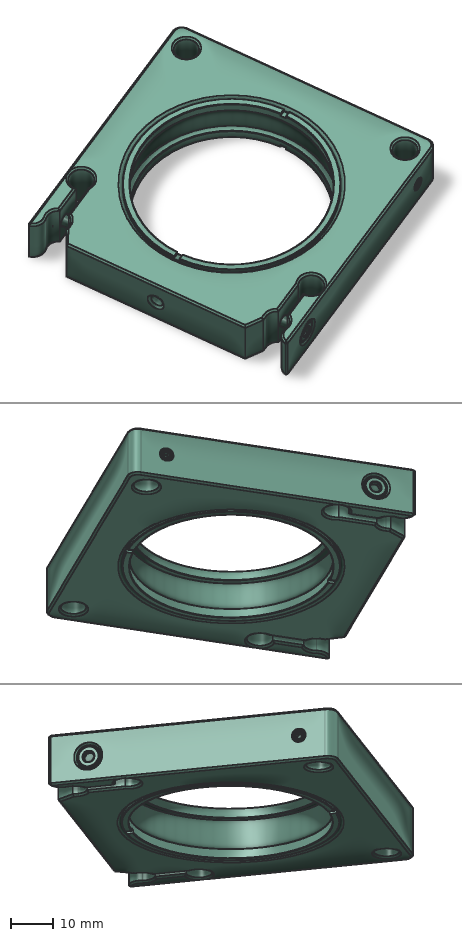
import cadquery as cq
import math

side = 71.1
thickness = 12.7
edge_chamfer = 0.5
back_corner_radius = 2.5
half_side = side / 2
half_thick = thickness / 2

bore_diameter = 51.7
bore_mouth_diameter = 53.7
ring_inner_diameter = 48.3
ring_thickness = 2.5
ring_chamfer = 0.15
ring_slot_width = 1.5
ring_slot_depth = 0.7

rod_offset = 30.0
rod_diameter = 6.0
rod_radius = rod_diameter / 2

relief_diameter = 6.2
relief_x = 31.6
relief_y = -16.6
slot_width = 2.4

fingertip_radius = 3.2
fingertip_y = -31.7
notch_bend_y = -31.3
notch_mouth_x = 24.55
finger_corner_width = 0.3
finger_corner_start_y = -34.35

clamp_y = -25.1
clamp_diameter = 3.0
clamp_length = 10.0
clamp_head_diameter = 5.5
clamp_head_height = 2.7
clamp_head_recess = 0.2
clamp_head_chamfer = 0.3
clamp_socket_flats = 2.5
clamp_socket_mouth_diameter = 3.0
clamp_socket_depth = 1.3
clearance_diameter = 3.4
counterbore_diameter = 6.0
counterbore_chamfer = 0.5

set_y = 26.7
set_diameter = 3.0
set_length = 2.5
set_recess = 0.2
set_chamfer = 0.35
set_socket_flats = 1.5
set_socket_depth = 1.3
set_hole_mouth_diameter = 3.4

mount_diameter = 3.3
mount_mouth_diameter = 4.5
mount_depth = 5.7
drill_tip_angle = 118.0

overshoot = 0.7


def cylinder_x(diameter, start_x, length, y):
    """Cylinder along +X at mid-thickness."""
    start = cq.Vector(start_x, y, 0)
    return cq.Workplane(cq.Solid.makeCylinder(diameter / 2, length, start, cq.Vector(1, 0, 0)))


def countersink_x(mouth_diameter, chamfer, y, outer_x=-half_side):
    """Cone that breaks the edge of a hole in a face at outer_x."""
    cone = cq.Solid.makeCone(
        mouth_diameter / 2,
        mouth_diameter / 2 - chamfer,
        chamfer,
        cq.Vector(outer_x, y, 0),
        cq.Vector(1, 0, 0),
    )
    return cq.Workplane(cone)


def both_sides(body):
    """The body and its mirror image across the YZ plane."""
    return [body, body.mirror("YZ")]


def flared_cutter(sketch_at):
    """Through cutter that widens at 45 degrees towards both flat faces."""
    straight = sketch_at(cq.Workplane("XY").workplane(offset=-half_thick)).extrude(thickness)
    flare_start = half_thick - edge_chamfer
    flare = sketch_at(cq.Workplane("XY").workplane(offset=flare_start)).extrude(edge_chamfer, taper=-45)
    return straight.union(flare).union(flare.mirror("XY"))


def round_cutter(x, y, diameter):
    return flared_cutter(lambda plane: plane.center(x, y).circle(diameter / 2))


def slot_cutter():
    length = relief_y + rod_offset
    middle_y = (relief_y - rod_offset) / 2
    return flared_cutter(lambda plane: plane.center(-rod_offset, middle_y).rect(slot_width, length))


def front_notch():
    """Open rod seat between the rounded fingertip and the sloped end of the plate, at the -X side."""
    seat_right_x = -rod_offset + rod_radius

    centre_distance = fingertip_radius + rod_radius
    tangent_angle = math.asin((-rod_offset - fingertip_y) / centre_distance)
    fingertip_x = -rod_offset - centre_distance * math.cos(tangent_angle)
    corner_x = finger_corner_width - half_side
    corner_angle = -math.acos((corner_x - fingertip_x) / fingertip_radius)

    def fingertip_point(angle):
        return (
            fingertip_x + fingertip_radius * math.cos(angle),
            fingertip_y + fingertip_radius * math.sin(angle),
        )

    outside = half_side + overshoot
    outline = (
        cq.Workplane("XY")
        .workplane(offset=-half_thick)
        .moveTo(-outside, finger_corner_start_y)
        .lineTo(-half_side, finger_corner_start_y)
        .lineTo(*fingertip_point(corner_angle))
        .threePointArc(fingertip_point((corner_angle + tangent_angle) / 2), fingertip_point(tangent_angle))
        .threePointArc((-rod_offset, rod_radius - rod_offset), (seat_right_x, -rod_offset))
        .lineTo(seat_right_x, notch_bend_y)
        .lineTo(-notch_mouth_x, -half_side)
        .lineTo(-notch_mouth_x, -outside)
        .lineTo(-outside, -outside)
        .close()
    )
    return outline.extrude(thickness)


def bore_cutter():
    mouth = (bore_mouth_diameter - bore_diameter) / 2
    cutter = cq.Workplane("XY").circle(bore_diameter / 2).extrude(half_thick, both=True)
    cone = cq.Solid.makeCone(
        bore_diameter / 2, bore_mouth_diameter / 2, mouth, cq.Vector(0, 0, half_thick - mouth)
    )
    cone = cq.Workplane(cone)
    return cutter.union(cone).union(cone.mirror("XY"))


def clamp_hole():
    """Counterbore, clearance hole through the finger and tight hole in the plate."""
    seat_depth = clamp_head_recess + clamp_head_height
    seat_x = seat_depth - half_side
    slot_x = -rod_offset
    counterbore = cylinder_x(counterbore_diameter, -half_side, seat_depth, clamp_y)
    mouth = countersink_x(counterbore_diameter + 2 * counterbore_chamfer, counterbore_chamfer, clamp_y)
    clearance = cylinder_x(clearance_diameter, seat_x, slot_x - seat_x, clamp_y)
    tight = cylinder_x(clamp_diameter, seat_x, clamp_length, clamp_y)
    return counterbore.union(mouth).union(clearance).union(tight)


def set_hole():
    hole = cylinder_x(set_diameter, -half_side, set_recess + set_length, set_y)
    mouth_chamfer = (set_hole_mouth_diameter - set_diameter) / 2
    return hole.union(countersink_x(set_hole_mouth_diameter, mouth_chamfer, set_y))


def mount_hole():
    """Blind drilled hole with a conical bottom and a chamfered mouth."""
    radius = mount_diameter / 2
    mouth_radius = mount_mouth_diameter / 2
    tip = radius / math.tan(math.radians(drill_tip_angle / 2))
    profile = [
        (0, -half_side),
        (mouth_radius, -half_side),
        (radius, mouth_radius - radius - half_side),
        (radius, mount_depth - half_side),
        (0, mount_depth + tip - half_side),
    ]
    return cq.Workplane("XY").polyline(profile).close().revolve(360, (0, 0), (0, 1))


def make_housing():
    body = cq.Workplane("XY").box(side, side, thickness)
    body = body.edges("|Z and >Y").fillet(back_corner_radius)
    for notch in both_sides(front_notch()):
        body = body.cut(notch)
    body = body.faces("<Z or >Z").chamfer(edge_chamfer)

    side_cutters = [
        round_cutter(-rod_offset, rod_offset, rod_diameter),
        round_cutter(-relief_x, relief_y, relief_diameter),
        slot_cutter(),
        clamp_hole(),
        set_hole(),
    ]
    for cutter in side_cutters:
        for copy in both_sides(cutter):
            body = body.cut(copy)
    return body.cut(bore_cutter()).cut(mount_hole())


def make_ring():
    """Upper retaining ring, flush with the plate, with a driver slot across its outer face."""
    ring = (
        cq.Workplane("XY")
        .workplane(offset=half_thick - ring_thickness)
        .circle(bore_diameter / 2)
        .circle(ring_inner_diameter / 2)
        .extrude(ring_thickness)
    )
    ring = ring.faces("<Z or >Z").chamfer(ring_chamfer)
    slot = cq.Workplane("XY").box(ring_slot_width, bore_diameter, 2 * ring_slot_depth)
    return ring.cut(slot.translate((0, 0, half_thick)))


def hex_socket(across_flats, depth, outer_x, y):
    """Hexagonal recess along +X with two flats parallel to the plate."""
    across_corners = across_flats / math.cos(math.radians(30))
    face = cq.Workplane("YZ").workplane(offset=outer_x).center(y, 0)
    return face.polygon(6, across_corners).extrude(depth)


def make_clamp_screw():
    head_x = clamp_head_recess - half_side
    head = cylinder_x(clamp_head_diameter, head_x, clamp_head_height, clamp_y)
    head = head.faces("<X").edges().chamfer(clamp_head_chamfer)
    shank = cylinder_x(clamp_diameter, head_x + clamp_head_height, clamp_length, clamp_y)
    socket = hex_socket(clamp_socket_flats, clamp_socket_depth, head_x, clamp_y)
    mouth_chamfer = (clamp_socket_mouth_diameter - clamp_socket_flats) / 2
    mouth = countersink_x(clamp_socket_mouth_diameter, mouth_chamfer, clamp_y, head_x)
    return head.union(shank).cut(socket).cut(mouth)


def make_set_screw():
    outer_x = set_recess - half_side
    screw = cylinder_x(set_diameter, outer_x, set_length, set_y)
    screw = screw.faces("<X").edges().chamfer(set_chamfer)
    socket = hex_socket(set_socket_flats, set_socket_depth, outer_x, set_y)
    return screw.cut(socket)


housing = make_housing()
upper_ring = make_ring()
rings = [upper_ring, upper_ring.mirror("XY")]
clamp_screws = both_sides(make_clamp_screw())
set_screws = both_sides(make_set_screw())

bodies = [housing, *rings, *clamp_screws, *set_screws]
result = cq.Compound.makeCompound([body.val() for body in bodies])